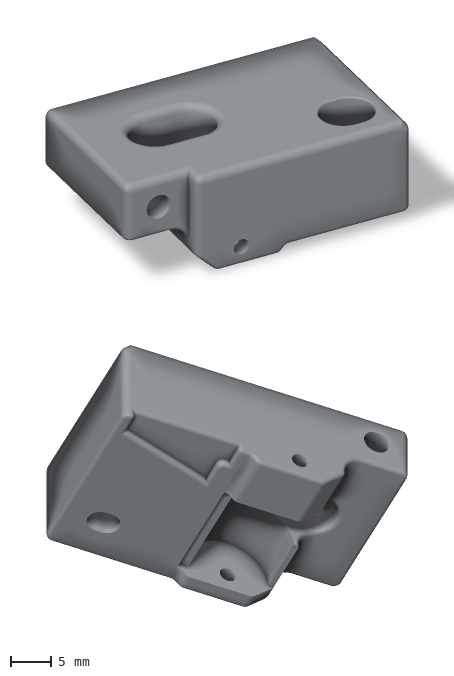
import cadquery as cq
import math

WIDTH = 24.3
LENGTH = 39.0
HEIGHT = 14.08
OVER = 1.95
TOLERANCE = 0.005

BIG_ROUND = 1.0
SMALL_ROUND = 0.5

NOSE_Z = 6.05
ARCH_RADIUS = 2.5
FOOT_FRONT_Y = 8.75
FOOT_RAMP_Z = 2.8
FOOT_TOE_Y = 11.62
FOOT_HEEL_Y = 20.48
REAR_Z = 1.0
HEEL_TOP_Y = FOOT_HEEL_Y + REAR_Z
BACK_CHAMFER = 1.0

NOTCH_X = 22.0

PIN_Y = 15.0
PIN_Z = 2.55
PIN_DIAMETER = 2.1
CAVITY_RADIUS = 5.5
CAVITY_LEFT_X = 7.55
CAVITY_RIGHT_X = NOTCH_X
THROAT_FRONT_Z = FOOT_RAMP_Z
THROAT_BACK_Z = 1.68
THROAT_BACK_Y = 21.9

CROSS_Y = 4.55
CROSS_Z = 10.02
CROSS_DIAMETER = 3.35

SLOT_X = 11.15
SLOT_Y = 12.55
SLOT_STRAIGHT = 4.85
SLOT_RADIUS = 3.47
SLOT_TAPER = 3.0
SLOT_LEAN = 15.0

SCREW_X = 18.52
SCREW_Y = 33.45
SCREW_STRAIGHT = 0.98
SCREW_RADIUS = 1.68
BORE_Y = 33.0
BORE_RADIUS = 3.15
BORE_FLOOR_Z = 4.0
BORE_LEAN = 3.0
BORE_ROUND = 0.25

POCKET_CEILING_Z = 2.03
POCKET_FRONT_Y = 23.2
POCKET_BACK_Y = 37.45
POCKET_SHALLOW_X = 3.12
POCKET_DEEP_X = 7.02
POCKET_STEP_Y = 24.6


def near(a, b):
    return abs(a - b) < TOLERANCE


def is_mouth(box, x, y, reach):
    """Edge on the top face lying within reach of (x, y)."""
    within_x = x - reach < box.xmin + TOLERANCE and box.xmax - TOLERANCE < x + reach
    within_y = y - reach < box.ymin + TOLERANCE and box.ymax - TOLERANCE < y + reach
    return near(box.zmin, HEIGHT) and within_x and within_y


def round_edges(solid, radius, chosen):
    """Fillet the edges for which chosen(centre, bounding_box) is true."""
    edges = [e for e in solid.edges().vals() if chosen(e.Center(), e.BoundingBox())]
    return solid.newObject(edges).fillet(radius)


def block(x_from, x_to, y_from, y_to, z_from, z_to):
    size = (x_to - x_from, y_to - y_from, z_to - z_from)
    return cq.Workplane("XY", origin=(x_from, y_from, z_from)).box(*size, centered=False)


def rod(x_from, x_to, y, z, radius):
    """Cylinder along X."""
    return cq.Workplane("YZ", origin=(x_from, y, z)).circle(radius).extrude(x_to - x_from)


def stadium(radius, straight, x, y, z):
    """Closed stadium wire, long axis along Y, at height z."""
    return (
        cq.Workplane("XY", origin=(x, y, z))
        .slot2D(straight + 2 * radius, 2 * radius, 90)
        .wires()
        .val()
    )


def leaning_slot(radius, straight, x, y, z_from, z_to, lean, taper=0.0):
    """Stadium hole that drifts towards the front and narrows on its way down."""
    drop = z_from - z_to
    drift = drop * math.tan(math.radians(lean))
    shrink = drop * math.tan(math.radians(taper))
    top = stadium(radius, straight, x, y, z_from)
    bottom = stadium(radius - shrink, straight, x, y - drift, z_to)
    return cq.Workplane(obj=cq.Solid.makeLoft([top, bottom], True))


def outer_body():
    half_turn = math.radians(22.5)
    setback = BIG_ROUND * math.tan(half_turn)
    diagonal = setback * math.sqrt(0.5)
    arc_bottom_z = HEIGHT - BACK_CHAMFER - setback
    arc_sag = BIG_ROUND * (1 - math.cos(half_turn))
    arc_mid = (LENGTH - arc_sag, arc_bottom_z + BIG_ROUND * math.sin(half_turn))
    arc_top = (LENGTH - diagonal, HEIGHT - BACK_CHAMFER + diagonal)
    arch_y = FOOT_FRONT_Y - ARCH_RADIUS
    arch_z = NOSE_Z - ARCH_RADIUS
    lean = ARCH_RADIUS * math.sqrt(0.5)
    return (
        cq.Workplane("YZ")
        .moveTo(0, HEIGHT)
        .lineTo(0, NOSE_Z)
        .lineTo(arch_y, NOSE_Z)
        .threePointArc((arch_y + lean, arch_z + lean), (FOOT_FRONT_Y, arch_z))
        .lineTo(FOOT_FRONT_Y, FOOT_RAMP_Z)
        .lineTo(FOOT_TOE_Y, 0)
        .lineTo(FOOT_HEEL_Y, 0)
        .lineTo(HEEL_TOP_Y, REAR_Z)
        .lineTo(LENGTH, REAR_Z)
        .lineTo(LENGTH, arc_bottom_z)
        .threePointArc(arc_mid, arc_top)
        .lineTo(LENGTH - BACK_CHAMFER, HEIGHT)
        .close()
        .extrude(WIDTH)
    )


def is_side_edge(centre, box):
    """Edge lying in one of the outer side planes."""
    return near(box.xmin, box.xmax) and any(near(centre.x, x) for x in (0, NOTCH_X, WIDTH))


def is_upper_edge(centre, box):
    """Outer edges of the upper part, except the bevelled back."""
    inner_corner = near(centre.x, NOTCH_X) and near(centre.y, FOOT_FRONT_Y)
    on_side = is_side_edge(centre, box) and box.zmax > NOSE_Z + TOLERANCE and not inner_corner
    on_front = near(centre.z, HEIGHT) and box.ymax < FOOT_FRONT_Y + TOLERANCE
    return on_side or on_front


def is_ramp_top(centre, box):
    """Crease between the foot front wall and the ramp, split in two by the slot."""
    on_crease = near(centre.y, FOOT_FRONT_Y) and near(centre.z, FOOT_RAMP_Z)
    return on_crease and near(box.ymin, box.ymax)


def is_softer_crease(centre, box):
    """Creases across the foot: toe, heel, end of the heel ramp and the left ramp top."""
    on_bottom = near(box.ymin, box.ymax) and (near(centre.z, 0) or near(centre.y, HEEL_TOP_Y))
    return on_bottom or (is_ramp_top(centre, box) and centre.x < SLOT_X)


def is_right_ramp_top(centre, box):
    return is_ramp_top(centre, box) and centre.x > SLOT_X


def is_lower_edge(centre, box):
    """Edges around the underside, including the mouths of the pocket and the slot."""
    level = near(box.zmin, box.zmax)
    on_side = is_side_edge(centre, box) and box.zmax < NOSE_Z + TOLERANCE
    on_rear = level and near(centre.z, REAR_Z) and box.ymax > POCKET_FRONT_Y - TOLERANCE
    on_nose = level and near(centre.z, NOSE_Z) and box.ymin < FOOT_FRONT_Y - ARCH_RADIUS - TOLERANCE
    return on_side or on_rear or on_nose


def is_finger_slot_mouth(centre, box):
    return is_mouth(box, SLOT_X, SLOT_Y, SLOT_RADIUS + SLOT_STRAIGHT / 2)


def side_pocket():
    pocket = (
        cq.Workplane("XY")
        .moveTo(-OVER, POCKET_FRONT_Y)
        .lineTo(POCKET_SHALLOW_X, POCKET_FRONT_Y)
        .lineTo(POCKET_SHALLOW_X, POCKET_STEP_Y)
        .lineTo(POCKET_DEEP_X, POCKET_STEP_Y)
        .lineTo(POCKET_SHALLOW_X, POCKET_BACK_Y)
        .lineTo(-OVER, POCKET_BACK_Y)
        .close()
        .extrude(POCKET_CEILING_Z)
    )
    return round_edges(
        pocket,
        BIG_ROUND,
        lambda centre, box: near(centre.x, POCKET_SHALLOW_X) and near(centre.y, POCKET_STEP_Y),
    )


def roller_cavity():
    roller = rod(CAVITY_LEFT_X, CAVITY_RIGHT_X, PIN_Y, PIN_Z, CAVITY_RADIUS)
    front_throat = block(CAVITY_LEFT_X, CAVITY_RIGHT_X, 0, PIN_Y, -OVER, THROAT_FRONT_Z)
    back_throat = block(CAVITY_LEFT_X, CAVITY_RIGHT_X, PIN_Y, THROAT_BACK_Y, -OVER, THROAT_BACK_Z)
    return roller.union(front_throat).union(back_throat)


def cut_screw_slot(solid):
    bore = leaning_slot(
        BORE_RADIUS, SCREW_STRAIGHT, SCREW_X, BORE_Y, HEIGHT, BORE_FLOOR_Z, BORE_LEAN
    )
    solid = round_edges(
        solid.cut(bore),
        BORE_ROUND,
        lambda centre, box: is_mouth(box, SCREW_X, BORE_Y, BORE_RADIUS + SCREW_STRAIGHT / 2),
    )
    shank = stadium(SCREW_RADIUS, SCREW_STRAIGHT, SCREW_X, SCREW_Y, -OVER)
    return solid.cut(cq.Workplane(obj=cq.Solid.extrudeLinear(shank, [], cq.Vector(0, 0, HEIGHT))))


body = outer_body()
body = body.cut(block(NOTCH_X, WIDTH + OVER, -OVER, FOOT_FRONT_Y, -OVER, HEIGHT + OVER))
body = round_edges(body, BIG_ROUND, is_upper_edge)

finger_slot = leaning_slot(
    SLOT_RADIUS, SLOT_STRAIGHT, SLOT_X, SLOT_Y, HEIGHT, 0, SLOT_LEAN, SLOT_TAPER
)
body = body.cut(finger_slot)
body = round_edges(body, BIG_ROUND, is_softer_crease)
body = round_edges(body, SMALL_ROUND, is_right_ramp_top)

body = body.cut(side_pocket())
body = round_edges(body, SMALL_ROUND, is_lower_edge)
body = cut_screw_slot(body)
body = round_edges(body, BIG_ROUND, is_finger_slot_mouth)
body = body.cut(roller_cavity())
body = body.cut(rod(-OVER, WIDTH + OVER, PIN_Y, PIN_Z, PIN_DIAMETER / 2))
body = body.cut(rod(-OVER, WIDTH + OVER, CROSS_Y, CROSS_Z, CROSS_DIAMETER / 2))

result = body